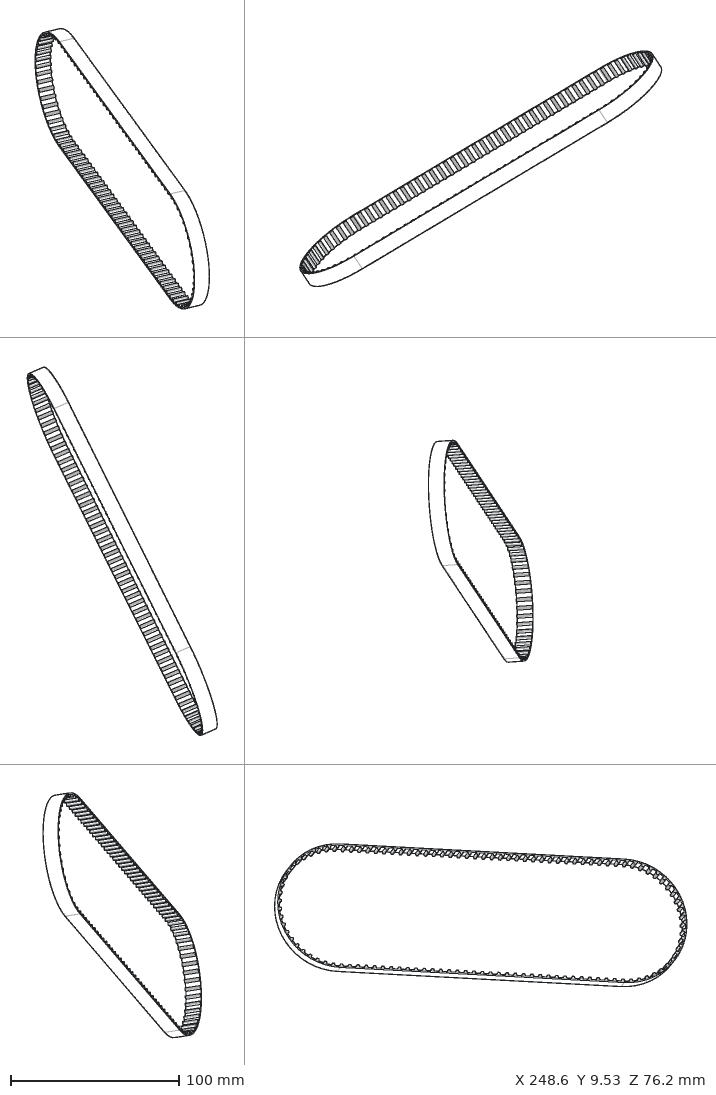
import cadquery as cq
import math

BELT_LENGTH = 248.61
BELT_HEIGHT = 76.2
BELT_WIDTH = 9.53
TOTAL_THICKNESS = 2.25

TOOTH_COUNT = 115
TOOTH_HEIGHT = 1.27
TOOTH_ROOT_WIDTH = 2.3
TOOTH_FLANK_ANGLE = 25.0
TOOTH_TIP_RADIUS = 0.38
ROOT_OVERLAP = 0.3

band_thickness = TOTAL_THICKNESS - TOOTH_HEIGHT
outer_radius = BELT_HEIGHT / 2
inner_radius = outer_radius - band_thickness
straight_length = BELT_LENGTH - BELT_HEIGHT
half_straight = straight_length / 2
arc_length = math.pi * inner_radius
inner_perimeter = 2 * (straight_length + arc_length)
tooth_pitch = inner_perimeter / TOOTH_COUNT
flank_run = TOOTH_HEIGHT * math.tan(math.radians(TOOTH_FLANK_ANGLE))
tooth_tip_width = TOOTH_ROOT_WIDTH - 2 * flank_run


def centred_workplane():
    """XZ plane placed so that a BELT_WIDTH extrusion is centred on Y = 0."""
    return cq.Workplane("XZ", origin=(0, BELT_WIDTH / 2, 0))


def make_band():
    """Plain band: two straight runs joined by two half-circle ends."""
    inner_length = straight_length + 2 * inner_radius
    outer = centred_workplane().slot2D(BELT_LENGTH, BELT_HEIGHT).extrude(BELT_WIDTH)
    inner = centred_workplane().slot2D(inner_length, 2 * inner_radius).extrude(BELT_WIDTH)
    return outer.cut(inner)


def point_on_inner_face(distance):
    """Return (x, z, turn) at a distance from the middle of the bottom run.

    The path runs counter-clockwise in X-Z, and turn is its heading in degrees.
    """
    if distance <= half_straight:
        return distance, -inner_radius, 0.0
    distance -= half_straight
    if distance <= arc_length:
        turn = distance / inner_radius
        x = half_straight + inner_radius * math.sin(turn)
        return x, -inner_radius * math.cos(turn), math.degrees(turn)
    distance -= arc_length
    if distance <= straight_length:
        return half_straight - distance, inner_radius, 180.0
    distance -= straight_length
    if distance <= arc_length:
        turn = distance / inner_radius
        x = -half_straight - inner_radius * math.sin(turn)
        return x, inner_radius * math.cos(turn), 180.0 + math.degrees(turn)
    return distance - arc_length - half_straight, -inner_radius, 0.0


def make_tooth():
    """Tapered tooth with a rounded tip, standing on the origin and pointing to +Z."""
    half_root = TOOTH_ROOT_WIDTH / 2
    half_tip = tooth_tip_width / 2
    outline = [
        (-half_root, -ROOT_OVERLAP),
        (half_root, -ROOT_OVERLAP),
        (half_root, 0),
        (half_tip, TOOTH_HEIGHT),
        (-half_tip, TOOTH_HEIGHT),
        (-half_root, 0),
    ]
    blank = centred_workplane().polyline(outline).close().extrude(BELT_WIDTH)
    return blank.faces(">Z").edges("|Y").fillet(TOOTH_TIP_RADIUS)


def make_teeth():
    """All teeth, evenly spaced along the inner face from the middle of the bottom run."""
    tooth = make_tooth()
    teeth = []
    for index in range(TOOTH_COUNT):
        x, z, turn = point_on_inner_face(index * tooth_pitch)
        placed = tooth.rotate((0, 0, 0), (0, -1, 0), turn).translate((x, 0, z))
        teeth.append(placed.val())
    return teeth


result = cq.Workplane(obj=make_band().val().fuse(*make_teeth()))